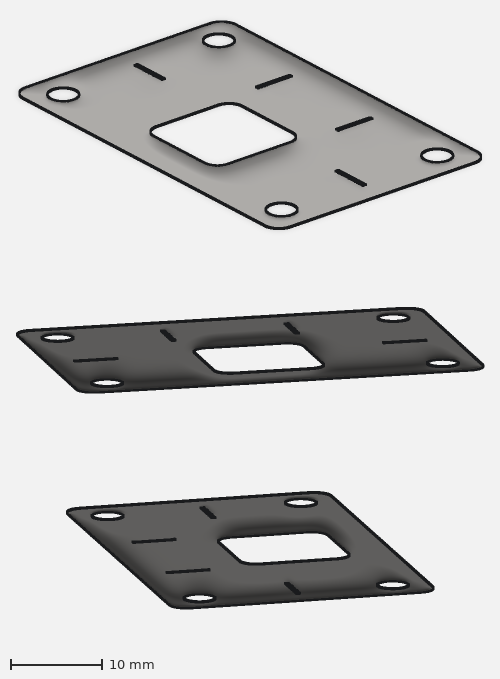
import cadquery as cq

length = 46.0
width = 30.0
thickness = 0.12
corner_radius = 2.0

hole_diameter = 3.5
hole_spacing_x = 38.0
hole_spacing_y = 22.0

window_side = 12.4
window_radius = 1.85
window_y = -3.8

slot_length = 4.8
slot_width = 0.4
upright_slot_x = 7.0
upright_slot_y = 9.0
side_slot_x = 17.5
side_slot_y = 0.0


def rounded_block(size_x, size_y, radius):
    """Block of the plate's thickness with rounded vertical edges."""
    return cq.Workplane("XY").box(size_x, size_y, thickness).edges("|Z").fillet(radius)


def slot_pair(size_x, size_y, offset_x, center_y):
    """Two rectangular cutters mirrored about the YZ plane."""
    centers = [(-offset_x, center_y), (offset_x, center_y)]
    return (
        cq.Workplane("XY")
        .pushPoints(centers)
        .rect(size_x, size_y)
        .extrude(thickness, both=True)
    )


plate = rounded_block(length, width, corner_radius)
holes = (
    cq.Workplane("XY")
    .rect(hole_spacing_x, hole_spacing_y, forConstruction=True)
    .vertices()
    .circle(hole_diameter / 2)
    .extrude(thickness, both=True)
)
window = rounded_block(window_side, window_side, window_radius).translate((0, window_y, 0))
upright_slots = slot_pair(slot_width, slot_length, upright_slot_x, upright_slot_y)
side_slots = slot_pair(slot_length, slot_width, side_slot_x, side_slot_y)

result = plate.cut(holes).cut(window).cut(upright_slots).cut(side_slots)